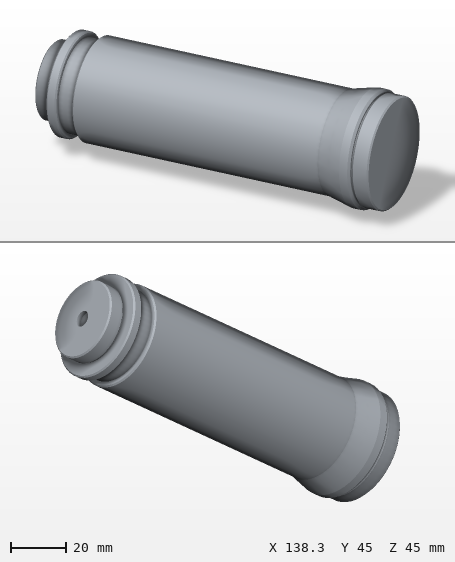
import cadquery as cq

nose_radius = 15.1
neck_radius = 18.0
body_radius = 20.0
rim_radius = 45.0 / 2
tail_radius = 21.5

nose_end = 6.5
flange_start = 7.0
flange_end = 11.0
body_start = 17.5
flare_start = 117.3
rim_start = 127.1
rim_end = 131.2
tail_start = 131.6
length = 138.3

edge_chamfer = 0.5
rim_chamfer = 0.8

nose_groove_radius = nose_radius - edge_chamfer
tail_groove_radius = tail_radius - edge_chamfer

hole_radius = 3.0
hole_depth = 2.0


def section(start, end, radius):
    """Solid cylinder on the X axis between two stations."""
    return cq.Workplane("YZ", origin=(start, 0, 0)).circle(radius).extrude(end - start)


def flare():
    """Conical transition from the body up to the rim."""
    profile = [
        (flare_start, 0),
        (flare_start, body_radius),
        (rim_start, rim_radius),
        (rim_start, 0),
    ]
    return cq.Workplane("XY").polyline(profile).close().revolve(360, (0, 0, 0), (1, 0, 0))


nose = section(0, nose_end, nose_radius).faces("<X or >X").chamfer(edge_chamfer)
nose_groove = section(nose_end, flange_start, nose_groove_radius)
flange = section(flange_start, flange_end, body_radius).faces("<X or >X").chamfer(edge_chamfer)
neck = section(flange_end, body_start, neck_radius)
body = section(body_start, flare_start, body_radius).faces("<X").chamfer(edge_chamfer)
rim = section(rim_start, rim_end, rim_radius).faces(">X").chamfer(rim_chamfer)
tail_groove = section(rim_end, tail_start, tail_groove_radius)
tail = section(tail_start, length, tail_radius).faces("<X or >X").chamfer(edge_chamfer)

result = nose
for part in (nose_groove, flange, neck, body, flare(), rim, tail_groove, tail):
    result = result.union(part)

result = result.cut(section(0, hole_depth, hole_radius))